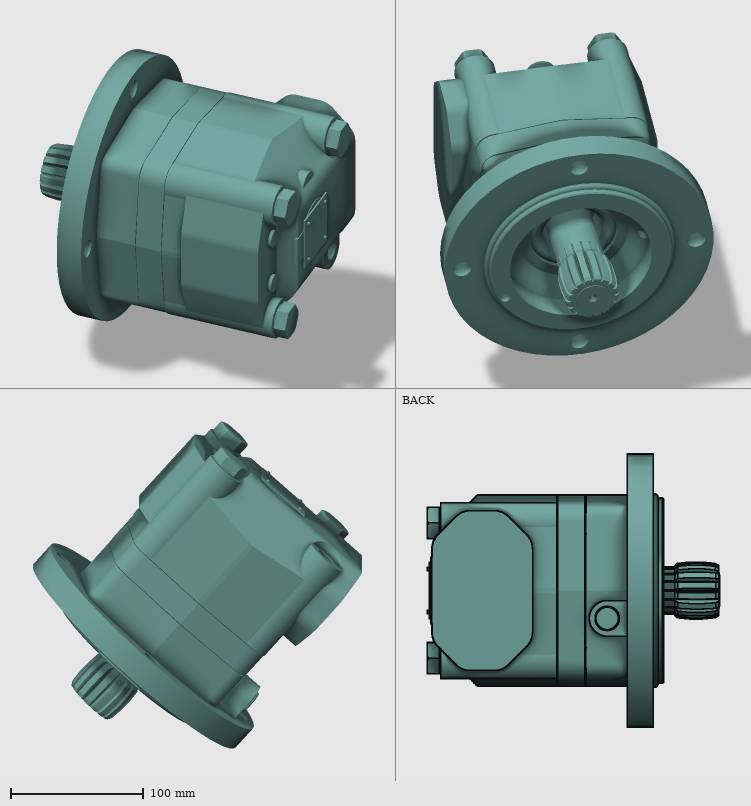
import cadquery as cq
import math


pilot_start = 42.5
pilot_ring_start = 46.7
flange_start = 50.3
flange_end = 70.2
front_end = 101.5
gap = 0.7
middle_start = front_end + gap
middle_end = 122.7
cover_start = middle_end + gap
boss_end = 211.3
cover_end = 218.0
total_length = 221.5

flange_diameter = 207.0
flange_hole_diameter = 14.0
flange_hole_circle = 180.0
pilot_radius = 70.2
pilot_chamfer = 0.9
pilot_ring_radius = 73.3
pilot_ring_round = 2.9

mouth_radius = 54.7
mouth_depth = 17.3
cone_drop = 13.0
lip_groove_radius = 33.2
lip_outer_radius = 29.7
lip_inner_radius = 27.5
lip_groove_depth = 3.3
lip_funnel_depth = 4.5
shaft_bore_radius = 23.0
face_hole_diameter = 7.0
face_hole_depth = 17.7
face_hole_y, face_hole_z = 58.3, -28.1
cone_hole_diameter = 6.0
cone_hole_depth = 17.7
cone_hole_y = -51.2

peak = 72.5
front_corner_center = 54.5
front_corner_radius = 10.2
front_corner_start = 55.8
bolt_offset = 51.2
middle_corner_radius = 14.8
middle_corner_start = 53.0
boss_radius = 15.5
cover_shoulder = 66.0
cover_peak_half_flat = 1.8
spigot_radius = 59.8

drain_boss_top = 84.5
drain_boss_radius = 13.5
drain_x = 85.3
drain_z = -21.0
drain_plug_diameter = 18.4
drain_plug_top = 87.3
drain_plug_chamfer = 0.7

cover_slope_start = 183.5
rear_block_start = 141.8
rear_block_height = 60.5
rear_block_top = 81.3
rear_block_round = 15.0
side_step_x = 206.7
side_slope_sum = 248.5
port_start, port_end = 141.3, 204.5
port_face = 76.9
port_half_height = 52.3
port_flat_half = 23.3
port_edge = 66.7
port_round = 14.5
port_stud_diameter = 13.7
port_stud_z = 20.2
port_stud_end = 207.1
valve_radius = 11.3
valve_offset = 38.8
valve_length = 11.0
valve_end = 213.5
end_pad_radius = 25.3
end_pad_thickness = 0.7
pad_tab_start = 215.3
pad_tab_reach = 33.0
pad_tab_width = 22.5
plate_size = 43.0
plate_thickness = 1.3
rivet_offset = 16.2
rivet_diameter = 2.7

bolt_diameter = 16.0
bolt_tip_x = 75.3
head_across_flats = 24.0
head_start = 212.2
washer_radius = 12.0
head_chamfer = 0.9

shaft_tilt = 1.75
shaft_pivot_x = 51.0
shaft_end = 99.7
neck_radius = 18.0
tip_radius = 12.95
tip_step = 0.7
spline_chamfer_end = 3.3
spline_mid = 16.5
spline_end = 32.0
spline_foot = 34.1
spline_face_radius = 19.0
spline_end_radius = 20.5
spline_mid_radius = 21.7
spline_teeth = 16
groove_root_radius = 16.8
groove_root_half = 0.33
groove_mouth_radius = 23.3
groove_mouth_half = 2.33
groove_end = 45.5
center_drill_diameter = 7.0
center_pilot_diameter = 2.7
center_pilot_depth = 5.5


def cylinder_x(radius, start, end, y=0, z=0):
    """Cylinder along X."""
    return cq.Workplane("YZ").center(y, z).circle(radius).extrude(end - start).translate((start, 0, 0))


def revolve_x(profile):
    """Turn a closed profile of X and radius about the X axis."""
    return profile.close().revolve(360, (0, 0, 0), (1, 0, 0))


def quarter_turn(point, turns):
    """Turn a point about the origin by whole quarter turns."""
    y, z = point
    for _ in range(turns):
        y, z = -z, y
    return (y, z)


def body_block(start, end, corner_center, corner_radius, corner_start):
    """Square block with peaked sides that slope down to its round corners."""
    touch_y = corner_start
    touch_z = corner_center + math.sqrt(corner_radius**2 - (corner_start - corner_center) ** 2)
    corner_tip = corner_center + corner_radius * math.sqrt(0.5)

    outline = cq.Workplane("YZ").moveTo(0, peak)
    for turns in (0, 3, 2, 1):
        outline = outline.lineTo(*quarter_turn((touch_y, touch_z), turns))
        outline = outline.threePointArc(
            quarter_turn((corner_tip, corner_tip), turns), quarter_turn((touch_z, touch_y), turns)
        )
        outline = outline.lineTo(*quarter_turn((peak, 0), turns))
    return outline.close().extrude(end - start).translate((start, 0, 0))


def bolt_places():
    return [(y, z) for y in (-bolt_offset, bolt_offset) for z in (-bolt_offset, bolt_offset)]


def drill_bolt_holes(body):
    for y, z in bolt_places():
        body = body.cut(cylinder_x(bolt_diameter / 2, bolt_tip_x, boss_end, y, z))
    return body


def make_front_housing():
    body = body_block(flange_end, front_end, front_corner_center, front_corner_radius, front_corner_start)
    body = body.union(cylinder_x(flange_diameter / 2, flange_start, flange_end))
    pilot = cylinder_x(pilot_radius, pilot_start, flange_start).faces("<X").chamfer(pilot_chamfer)
    ring = cylinder_x(pilot_ring_radius, pilot_ring_start, flange_start)
    ring = ring.faces("<X").edges().fillet(pilot_ring_round)
    body = body.union(pilot).union(ring)

    boss = cq.Workplane("XZ").center(drain_x, drain_z).circle(drain_boss_radius).extrude(-drain_boss_top)
    boss_foot = (
        cq.Workplane("XZ")
        .center((flange_end + drain_x) / 2, drain_z)
        .rect(drain_x - flange_end, 2 * drain_boss_radius)
        .extrude(-drain_boss_top)
    )
    plug = cq.Workplane("XZ").center(drain_x, drain_z).circle(drain_plug_diameter / 2)
    plug = plug.extrude(-drain_plug_top).faces(">Y").chamfer(drain_plug_chamfer)
    body = body.union(boss).union(boss_foot).union(plug)

    cone_start = pilot_start + mouth_depth
    floor = cone_start + cone_drop
    bore = revolve_x(
        cq.Workplane("XY")
        .moveTo(pilot_start, 0)
        .lineTo(pilot_start, mouth_radius)
        .lineTo(cone_start, mouth_radius)
        .lineTo(floor, mouth_radius - cone_drop)
        .lineTo(floor, lip_groove_radius)
        .lineTo(floor + lip_groove_depth, lip_groove_radius)
        .lineTo(floor, lip_outer_radius)
        .lineTo(floor, lip_inner_radius)
        .lineTo(floor + lip_funnel_depth, shaft_bore_radius)
        .lineTo(front_end, shaft_bore_radius)
        .lineTo(front_end, 0)
    )
    body = body.cut(bore)

    for turns in range(4):
        y, z = quarter_turn((flange_hole_circle / 2, 0), turns)
        body = body.cut(cylinder_x(flange_hole_diameter / 2, flange_start, flange_end, y, z))
    face_hole_end = pilot_start + face_hole_depth
    body = body.cut(cylinder_x(face_hole_diameter / 2, pilot_start, face_hole_end, face_hole_y, face_hole_z))
    body = body.cut(cylinder_x(cone_hole_diameter / 2, cone_start, cone_start + cone_hole_depth, cone_hole_y))
    return drill_bolt_holes(body)


def make_middle_plate():
    body = body_block(middle_start, middle_end, bolt_offset, middle_corner_radius, middle_corner_start)
    body = body.union(cylinder_x(spigot_radius, front_end, cover_start))
    return drill_bolt_holes(body)


def make_rear_cover():
    outline = []
    for turns in (0, 3, 2, 1):
        outline += [
            quarter_turn(point, turns)
            for point in ((-cover_peak_half_flat, peak), (cover_peak_half_flat, peak),
                          (bolt_offset, cover_shoulder), (cover_shoulder, bolt_offset))
        ]
    block = cq.Workplane("YZ").polyline(outline).close().extrude(cover_end - cover_start)
    block = block.translate((cover_start, 0, 0))

    slope_sum = cover_slope_start + peak
    slope_end = slope_sum - cover_end
    envelope = (
        cq.Workplane("XZ")
        .polyline([
            (cover_start, peak), (cover_slope_start, peak), (cover_end, slope_end),
            (cover_end, -slope_end), (cover_slope_start, -peak), (cover_start, -peak),
        ])
        .close()
        .extrude(peak, both=True)
        .edges("|Y and >X").fillet(rear_block_round)
    )

    side_step_y = side_slope_sum - side_step_x
    step = (
        cq.Workplane("XY")
        .polyline([
            (port_end, -peak), (port_end, -side_step_y), (side_step_x, -side_step_y),
            (cover_end, cover_end - side_slope_sum), (cover_end, -peak),
        ])
        .close()
        .extrude(peak, both=True)
    )
    core = block.intersect(envelope).cut(step)

    middle_x = (rear_block_start + cover_end) / 2
    half_length = cover_end - middle_x
    top_half = slope_sum - rear_block_height - middle_x
    corners = [(half_length, slope_end), (top_half, rear_block_height)]
    corners += [(-x, z) for x, z in reversed(corners)]
    corners += [(-x, -z) for x, z in corners]
    rear_block = (
        cq.Workplane("XZ")
        .polyline(corners)
        .close()
        .extrude(-rear_block_top)
        .edges("|Y").fillet(rear_block_round)
        .translate((middle_x, 0, 0))
    )

    port_block = (
        cq.Workplane("YZ")
        .polyline([
            (-side_step_y, port_half_height), (-port_edge, port_half_height), (-port_face, port_flat_half),
            (-port_face, -port_flat_half), (-port_edge, -port_half_height), (-side_step_y, -port_half_height),
        ])
        .close()
        .extrude(port_end - port_start)
        .edges("|X and <Y").fillet(port_round)
        .translate((port_start, 0, 0))
    )
    body = core.union(rear_block).union(port_block)

    for y, z in bolt_places():
        body = body.union(cylinder_x(boss_radius, cover_start, boss_end, y, z))
    for z in (-port_stud_z, port_stud_z):
        body = body.union(cylinder_x(port_stud_diameter / 2, port_start, port_stud_end, -bolt_offset, z))

    body = body.union(cylinder_x(valve_radius, valve_end - valve_length, valve_end, 0, valve_offset))

    pad_end = cover_end + end_pad_thickness
    plate = cq.Workplane("YZ").rect(plate_size, plate_size).extrude(plate_thickness)
    plate = plate.translate((pad_end, 0, 0))
    tab = (
        cq.Workplane("YZ")
        .center(-pad_tab_reach / 2, 0)
        .rect(pad_tab_reach, pad_tab_width)
        .extrude(pad_end - pad_tab_start)
        .translate((pad_tab_start, 0, 0))
    )
    body = body.union(cylinder_x(end_pad_radius, boss_end, pad_end)).union(tab).union(plate)
    for y in (-rivet_offset, rivet_offset):
        for z in (-rivet_offset, rivet_offset):
            body = body.union(cylinder_x(rivet_diameter / 2, pad_end, total_length, y, z))

    for y, z in bolt_places():
        body = body.cut(cylinder_x(boss_radius, boss_end, cover_end, y, z))
    return drill_bolt_holes(body)


def make_bolt(y, z):
    """Hexagon bolt with two flats facing +Z and -Z."""
    corner_radius = head_across_flats / math.sqrt(3)
    head = cq.Workplane("YZ").polygon(6, 2 * corner_radius).extrude(total_length - head_start)
    rounding = cylinder_x(corner_radius, 0, total_length - head_start).faces(">X").chamfer(head_chamfer)
    head = head.intersect(rounding).translate((head_start, 0, 0))
    bolt = head.union(cylinder_x(washer_radius, boss_end, head_start))
    bolt = bolt.union(cylinder_x(bolt_diameter / 2, bolt_tip_x, boss_end))
    return bolt.translate((0, y, z))


def make_shaft():
    blank = revolve_x(
        cq.Workplane("XY")
        .moveTo(0, 0)
        .lineTo(0, tip_radius)
        .lineTo(tip_step, tip_radius)
        .lineTo(tip_step, spline_face_radius)
        .lineTo(spline_chamfer_end, spline_end_radius)
        .threePointArc((spline_mid, spline_mid_radius), (spline_end, spline_end_radius))
        .lineTo(spline_foot, neck_radius)
        .lineTo(shaft_end, neck_radius)
        .lineTo(shaft_end, 0)
    )
    groove = (
        cq.Workplane("YZ")
        .polyline([
            (groove_root_radius, -groove_root_half), (groove_mouth_radius, -groove_mouth_half),
            (groove_mouth_radius, groove_mouth_half), (groove_root_radius, groove_root_half),
        ])
        .close()
        .extrude(groove_end)
    )
    for tooth in range(spline_teeth):
        blank = blank.cut(groove.rotate((0, 0, 0), (1, 0, 0), tooth * 360 / spline_teeth))
    center_cone_depth = (center_drill_diameter - center_pilot_diameter) / 2
    center_drill = revolve_x(
        cq.Workplane("XY")
        .moveTo(0, 0)
        .lineTo(0, center_drill_diameter / 2)
        .lineTo(center_cone_depth, center_pilot_diameter / 2)
        .lineTo(center_pilot_depth, center_pilot_diameter / 2)
        .lineTo(center_pilot_depth, 0)
    )
    shaft = blank.cut(center_drill)

    tilt = math.radians(shaft_tilt)
    shaft = shaft.rotate((shaft_pivot_x, 0, 0), (shaft_pivot_x, 0, 1), shaft_tilt)
    return shaft.translate((tip_radius * math.sin(tilt) - shaft_pivot_x * (1 - math.cos(tilt)), 0, 0))


front_housing = make_front_housing()
middle_plate = make_middle_plate()
rear_cover = make_rear_cover()
shaft = make_shaft()
bolts = [make_bolt(y, z) for y, z in bolt_places() if y < 0 or z > 0]

result = cq.Compound.makeCompound(
    [front_housing.val(), middle_plate.val(), rear_cover.val(), shaft.val(), *[bolt.val() for bolt in bolts]]
)